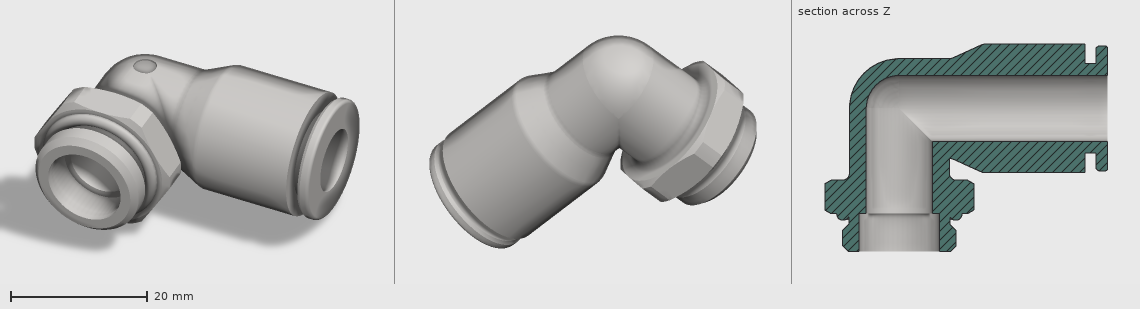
import cadquery as cq
import math


elbow_radius = 7.35
bore_radius = 4.82

socket_radius = 9.48
neck_end = 7.65
cone_end = 12.3
socket_end = 27.23
blend_radius = 1.65

collar_end = 30.6
collar_length = 1.83
collar_radius = 9.23
collar_stem_radius = 6.6
collar_chamfer_length = 0.5
collar_chamfer_depth = 0.37
collar_round = 0.5

hex_across_flats = 20.0
hex_corner_radius = 10.97
hex_start = 10.48
hex_length = 5.0
hex_end = hex_start + hex_length
hex_chamfer_angle = math.radians(30)
neck_fillet = 1.0

seal_section_radius = 0.95
seal_outer_radius = 9.23

stud_end = 21.05
stud_radius = 8.35
stud_chamfer = 0.9
relief_radius = stud_radius - stud_chamfer
relief_end = 16.95
stud_bore_radius = 5.85
stud_bore_depth = 5.6

badge_radius = 1.75
badge_floor = 6.85


def elbow(radius, x_length, y_length):
    """Two mitred round legs with a ball at the outer corner."""
    ball = cq.Workplane("XY").sphere(radius)
    x_leg = cq.Workplane("YZ").circle(radius).extrude(x_length)
    y_leg = cq.Workplane("XZ").circle(radius).extrude(y_length)
    return ball.union(x_leg).union(y_leg)


def turned_about_x(profile):
    return profile.close().revolve(360, (0, 0, 0), (1, 0, 0))


def turned_about_y(profile):
    return profile.close().revolve(360, (0, 0, 0), (0, 1, 0))


def make_socket():
    cone_half_angle = math.atan2(socket_radius - elbow_radius, cone_end - neck_end)
    blend_setback = blend_radius * math.tan(cone_half_angle / 2)
    along_cone = blend_setback * math.cos(cone_half_angle)
    across_cone = blend_setback * math.sin(cone_half_angle)
    mid_run = blend_radius * math.sin(cone_half_angle / 2)
    mid_rise = blend_radius * (1 - math.cos(cone_half_angle / 2))
    neck_tangent = neck_end - blend_setback
    socket_tangent = cone_end + blend_setback
    profile = (
        cq.Workplane("XY")
        .moveTo(neck_tangent, 0)
        .lineTo(neck_tangent, elbow_radius)
        .threePointArc(
            (neck_tangent + mid_run, elbow_radius + mid_rise),
            (neck_end + along_cone, elbow_radius + across_cone),
        )
        .lineTo(cone_end - along_cone, socket_radius - across_cone)
        .threePointArc(
            (socket_tangent - mid_run, socket_radius - mid_rise),
            (socket_tangent, socket_radius),
        )
        .lineTo(socket_end, socket_radius)
        .lineTo(socket_end, 0)
    )
    return turned_about_x(profile)


def make_collar():
    collar_start = collar_end - collar_length
    round_middle = collar_round * (1 - math.sqrt(0.5))
    profile = (
        cq.Workplane("XY")
        .moveTo(socket_end, 0)
        .lineTo(socket_end, collar_stem_radius)
        .lineTo(collar_start, collar_stem_radius)
        .lineTo(collar_start, collar_radius - collar_chamfer_depth)
        .lineTo(collar_start + collar_chamfer_length, collar_radius)
        .lineTo(collar_end - collar_round, collar_radius)
        .threePointArc(
            (collar_end - round_middle, collar_radius - round_middle),
            (collar_end, collar_radius - collar_round),
        )
        .lineTo(collar_end, 0)
    )
    return turned_about_x(profile)


def make_hexagon():
    across_corners = hex_across_flats / math.cos(math.pi / 6)
    prism = (
        cq.Workplane("XZ", origin=(0, -hex_start, 0))
        .polygon(6, across_corners)
        .extrude(hex_length)
    )
    face_radius = hex_across_flats / 2
    chamfer_length = (hex_corner_radius - face_radius) * math.tan(hex_chamfer_angle)
    envelope = (
        cq.Workplane("XY")
        .moveTo(0, -hex_start)
        .lineTo(face_radius, -hex_start)
        .lineTo(hex_corner_radius, -hex_start - chamfer_length)
        .lineTo(hex_corner_radius, -hex_end + chamfer_length)
        .lineTo(face_radius, -hex_end)
        .lineTo(0, -hex_end)
    )
    return prism.intersect(turned_about_y(envelope))


def make_neck_fillet():
    """Concave flare from the elbow leg out to the hexagon face."""
    flare_radius = elbow_radius + neck_fillet
    flare_start = hex_start - neck_fillet
    arc_drop = neck_fillet * math.sqrt(0.5)
    profile = (
        cq.Workplane("XY")
        .moveTo(0, -flare_start)
        .lineTo(elbow_radius, -flare_start)
        .threePointArc(
            (flare_radius - arc_drop, -flare_start - arc_drop),
            (flare_radius, -hex_start),
        )
        .lineTo(0, -hex_start)
    )
    return turned_about_y(profile)


def make_seal():
    centre_radius = seal_outer_radius - seal_section_radius
    return cq.Workplane("XY").add(
        cq.Solid.makeTorus(
            centre_radius, seal_section_radius, cq.Vector(0, -hex_end, 0), cq.Vector(0, 1, 0)
        )
    )


def make_stud():
    profile = (
        cq.Workplane("XY")
        .moveTo(0, -hex_end)
        .lineTo(relief_radius, -hex_end)
        .lineTo(relief_radius, -relief_end)
        .lineTo(stud_radius, -relief_end - stud_chamfer)
        .lineTo(stud_radius, -stud_end + stud_chamfer)
        .lineTo(stud_radius - stud_chamfer, -stud_end)
        .lineTo(0, -stud_end)
    )
    return turned_about_y(profile)


def make_passage():
    """Elbow-shaped flow passage, wider at the stud mouth."""
    mouth = (
        cq.Workplane("XZ", origin=(0, -stud_end + stud_bore_depth, 0))
        .circle(stud_bore_radius)
        .extrude(stud_bore_depth)
    )
    return elbow(bore_radius, collar_end, stud_end).union(mouth)


def make_badge_recess():
    return (
        cq.Workplane("XY", origin=(0, 0, badge_floor))
        .circle(badge_radius)
        .extrude(elbow_radius)
    )


result = elbow(elbow_radius, neck_end, hex_start)
for piece in (
    make_socket(),
    make_collar(),
    make_neck_fillet(),
    make_hexagon(),
    make_seal(),
    make_stud(),
):
    result = result.union(piece)
result = result.cut(make_passage()).cut(make_badge_recess())